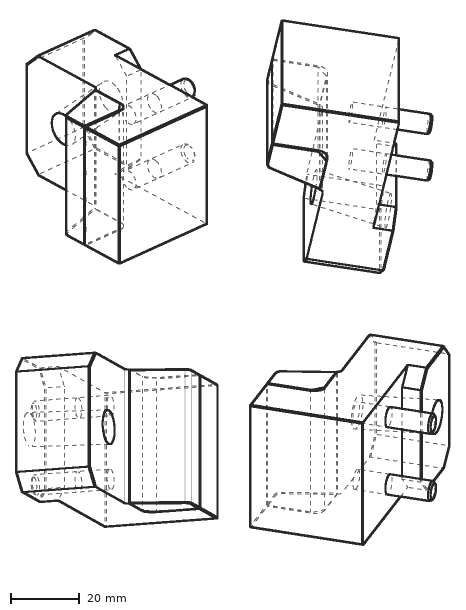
import cadquery as cq
import math

length = 60.0
height = 40.0
edge_break = 0.3

web_front_y = 18.0
web_back_y = 35.0
foot_x = 45.2
pad_length = 25.0
pad_back_y = 41.0
pad_chamfer = 5.0
corner_chamfer = 5.05

seat_drop = 1.0
seat_corner_radius = 3.0
relief_start_x = 29.7
relief_radius = 1.3

hole_diameter = 10.0
hole_x = 16.25
hole_angle = 11.2

jaw_gap = 0.2
jaw_slant_angle = 17.3
jaw_nose_radius = 2.0
jaw_corner_chamfer = 3.2

pin_diameter = 6.0
pin_x = 37.0
pin_tip_y = 48.8
pin_spacing = 22.0
pin_chamfer = 0.6
pin_embedded = 10.0

seat_y = web_front_y - seat_drop
relief_sweep = math.acos(1 - seat_drop / relief_radius)
relief_end_x = relief_start_x + relief_radius * math.sin(relief_sweep)


def outline_at(x, y):
    """Start an XY outline on the bottom plane."""
    return cq.Workplane("XY", origin=(0, 0, -height / 2)).moveTo(x, y)


def make_web_and_foot():
    """L-shaped block with the concave relief and the round-cornered seat for the jaw."""
    relief_middle = (
        relief_start_x + relief_radius * math.sin(relief_sweep / 2),
        web_front_y - relief_radius * (1 - math.cos(relief_sweep / 2)),
    )
    block = (
        outline_at(0, web_front_y)
        .lineTo(relief_start_x, web_front_y)
        .threePointArc(relief_middle, (relief_end_x, seat_y))
        .lineTo(foot_x - seat_corner_radius, seat_y)
        .radiusArc((foot_x, seat_y - seat_corner_radius), seat_corner_radius)
        .lineTo(foot_x, 0)
        .lineTo(length, 0)
        .lineTo(length, web_back_y)
        .lineTo(0, web_back_y)
        .close()
        .extrude(height)
    )
    block = block.faces(">X").chamfer(edge_break)
    return block.faces("<Y").edges("|X").chamfer(edge_break)


def make_pad():
    """Raised pad on the back of the web, with its two inner corners chamfered."""
    pad = (
        outline_at(0, web_back_y)
        .lineTo(pad_length, web_back_y)
        .lineTo(pad_length, pad_back_y)
        .lineTo(0, pad_back_y)
        .close()
        .extrude(height)
    )
    return pad.faces(">X").edges("|Y").chamfer(pad_chamfer)


def break_outer_end(body):
    """Break the front edge of the outer end, around its corner chamfers, and the pad's back edges."""
    inset = edge_break / 2
    front_edges = cq.selectors.BoxSelector(
        (-inset, web_front_y - inset, -height),
        (corner_chamfer - inset, web_front_y + inset, height),
    )
    body = body.edges(front_edges).chamfer(edge_break)
    return body.faces(">Y").chamfer(edge_break)


def make_hole_cutter():
    """Cylinder through the web and pad, leaning toward -X as it goes back."""
    reach = pad_back_y
    return (
        cq.Workplane("XZ", origin=(0, reach, 0))
        .circle(hole_diameter / 2)
        .extrude(2 * reach)
        .rotate((0, 0, 0), (0, 0, 1), hole_angle)
        .translate((hole_x, web_front_y, 0))
    )


def make_pin(z):
    """One pin along Y, chamfered at its free end and set into the back of the web."""
    return (
        cq.Workplane("XZ", origin=(pin_x, pin_tip_y, z))
        .circle(pin_diameter / 2)
        .extrude(pin_tip_y - web_back_y + pin_embedded)
        .faces(">Y")
        .chamfer(pin_chamfer)
    )


def make_housing(pins):
    """Web, foot and pad in one solid, with the inclined hole and a matching hole for each pin."""
    body = make_web_and_foot().union(make_pad())
    body = body.faces("<X").edges("|Y").chamfer(corner_chamfer)
    body = break_outer_end(body)
    body = body.cut(make_hole_cutter())
    for pin in pins:
        body = body.cut(pin)
    return body


def make_jaw():
    """Wedge jaw with a slanted clamping face and a rounded nose, just clear of its seat."""
    back_y = seat_y - jaw_gap
    right_x = foot_x - jaw_gap
    nose_x = relief_end_x + back_y * math.tan(math.radians(jaw_slant_angle))
    jaw = (
        outline_at(relief_end_x, back_y)
        .lineTo(nose_x, 0)
        .lineTo(right_x, 0)
        .lineTo(right_x, back_y - jaw_corner_chamfer)
        .lineTo(right_x - jaw_corner_chamfer, back_y)
        .close()
        .extrude(height)
    )
    jaw = jaw.faces("<Y").edges("|Z").edges("<X").fillet(jaw_nose_radius)
    jaw = jaw.faces("<Y").edges(">X").chamfer(edge_break)
    exposed_edges = cq.selectors.BoxSelector(
        (0, -edge_break, -height),
        (length, back_y - jaw_corner_chamfer, height),
    )
    return jaw.faces("<Z or >Z").edges(exposed_edges).chamfer(edge_break)


pins = [make_pin(side * pin_spacing / 2) for side in (-1, 1)]
housing = make_housing(pins)
jaw = make_jaw()
result = cq.Compound.makeCompound([housing.val(), jaw.val(), *[pin.val() for pin in pins]])